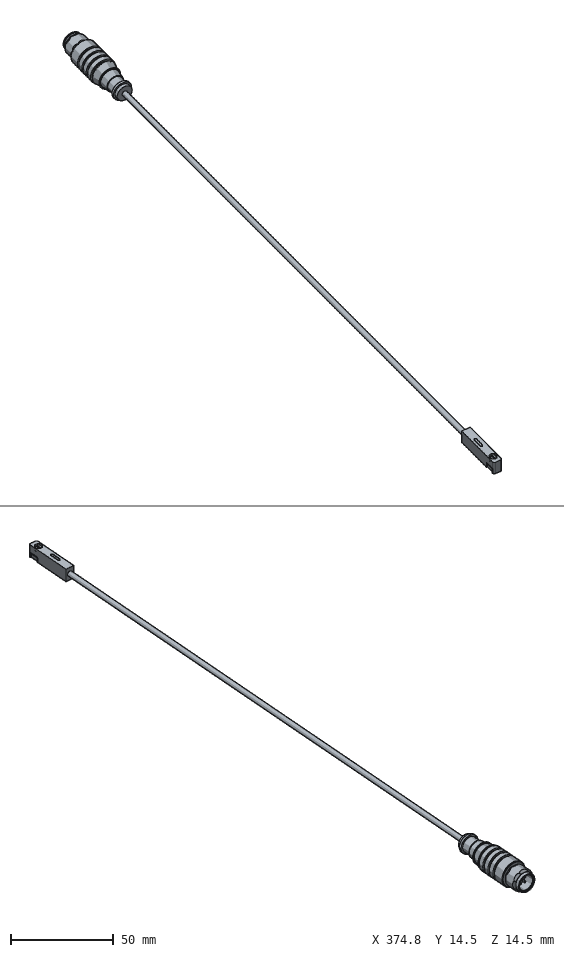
import cadquery as cq
import math

TOTAL_LENGTH = 374.75
PLUG_LENGTH = 46.5
CABLE_DIAMETER = 3.0
CABLE_EMBEDMENT = 1.0

NOSE_DIAMETER = 10.3
NOSE_LENGTH = 2.0
NUT_DIAMETER = 12.2
NUT_END = 9.7
NUT_BEVEL_COUNT = 8
NUT_BEVEL_LENGTH = 1.5
NUT_BEVEL_DEPTH = 0.9

SOCKET_DIAMETER = 8.3
SOCKET_MOUTH_DIAMETER = 9.4
SOCKET_MOUTH_DEPTH = 0.5
SOCKET_DEPTH = 6.0
PIN_DIAMETER = 1.0
PIN_CIRCLE_DIAMETER = 4.0
BOSS_DIAMETER = 6.0
BOSS_LENGTH = 1.0
PIN_SETBACK = 3.0
PIN_COUNT = 4

GRIP_DIAMETER = 14.5
COLLAR_CHAMFER = 0.4
GROOVE_COUNT = 4
GROOVE_START = 15.8
GROOVE_PITCH = 3.85
GROOVE_WIDTH = 1.2
GROOVE_FLOOR_DIAMETER = 12.6
GRIP_END = GROOVE_START + (GROOVE_COUNT - 1) * GROOVE_PITCH + GROOVE_WIDTH
TAPER_START_DIAMETER = 14.0
TAPER_END_DIAMETER = 11.0

FLANGE_START = 33.2
FLANGE_WIDTH = 0.4
FLANGE_DIAMETER = 12.4
SHOULDER_END = 38.1
SHOULDER_START_DIAMETER = 11.0
SHOULDER_END_DIAMETER = 9.8
TAIL_DIAMETER = 8.8
TAIL_RING_START = 43.3
TAIL_RING_WIDTH = 1.3
TAIL_RING_DIAMETER = 10.7

SENSOR_LENGTH = 28.2
SENSOR_WIDTH = 5.0
SENSOR_HEIGHT = 7.4
SENSOR_TIP_RADIUS = 1.0
WINDOW_CENTER = 11.4
WINDOW_LENGTH = 6.6
WINDOW_WIDTH = 1.3
WINDOW_OFFSET = -0.3
WINDOW_DEPTH = 0.3

SCREW_FROM_TIP = 4.3
SCREW_HOLE_DIAMETER = 4.0
SCREW_HOLE_DEPTH = 2.0
SCREW_DIAMETER = 3.0
SCREW_RECESS = 0.5
SCREW_SLOT_WIDTH = 0.6
SCREW_SLOT_DEPTH = 0.8

RECESS_FROM_TIP = 1.3
RECESS_LENGTH = 5.0
RECESS_HEIGHT = 3.1
RECESS_SLOPE_HEIGHT = 1.1
RECESS_DEPTH = 0.5

SENSOR_START = TOTAL_LENGTH - SENSOR_LENGTH


def cylinder_x(start, length, diameter, y=0.0, z=0.0):
    """Cylinder along +X."""
    return cq.Workplane("YZ", origin=(start, y, z)).circle(diameter / 2).extrude(length)


def cone_x(start, length, start_diameter, end_diameter):
    """Truncated cone on the X axis."""
    return (
        cq.Workplane("XY")
        .moveTo(start, 0)
        .lineTo(start, start_diameter / 2)
        .lineTo(start + length, end_diameter / 2)
        .lineTo(start + length, 0)
        .close()
        .revolve(360, (0, 0, 0), (1, 0, 0))
    )


def make_nut():
    """Round coupling nut with a ring of flat bevels at each end."""
    nut = cylinder_x(NOSE_LENGTH, NUT_END - NOSE_LENGTH, NUT_DIAMETER)
    radius = NUT_DIAMETER / 2
    for end, direction in ((NOSE_LENGTH, 1), (NUT_END, -1)):
        bevel = (
            cq.Workplane("XZ")
            .moveTo(end, radius - NUT_BEVEL_DEPTH)
            .lineTo(end + direction * NUT_BEVEL_LENGTH, radius)
            .lineTo(end, radius)
            .close()
            .extrude(radius, both=True)
        )
        for index in range(NUT_BEVEL_COUNT):
            angle = index * 360 / NUT_BEVEL_COUNT
            nut = nut.cut(bevel.rotate((0, 0, 0), (1, 0, 0), angle))
    return nut


def make_groove(start):
    """Ring groove cutter around the grip."""
    groove = cylinder_x(start, GROOVE_WIDTH, GRIP_DIAMETER)
    return groove.cut(cylinder_x(start, GROOVE_WIDTH, GROOVE_FLOOR_DIAMETER))


def make_grip():
    grip = cylinder_x(NUT_END, GRIP_END - NUT_END, GRIP_DIAMETER).faces("<X").chamfer(COLLAR_CHAMFER)
    for index in range(GROOVE_COUNT):
        grip = grip.cut(make_groove(GROOVE_START + index * GROOVE_PITCH))
    taper = cone_x(GRIP_END, FLANGE_START - GRIP_END, TAPER_START_DIAMETER, TAPER_END_DIAMETER)
    return grip.union(taper)


def make_strain_relief():
    shoulder_start = FLANGE_START + FLANGE_WIDTH
    flange = cylinder_x(FLANGE_START, FLANGE_WIDTH, FLANGE_DIAMETER)
    shoulder = cone_x(
        shoulder_start, SHOULDER_END - shoulder_start, SHOULDER_START_DIAMETER, SHOULDER_END_DIAMETER
    )
    tail = cylinder_x(SHOULDER_END, PLUG_LENGTH - SHOULDER_END, TAIL_DIAMETER)
    ring = cylinder_x(TAIL_RING_START, TAIL_RING_WIDTH, TAIL_RING_DIAMETER)
    return flange.union(shoulder).union(tail).union(ring)


def make_plug():
    plug = cylinder_x(0, NOSE_LENGTH, NOSE_DIAMETER).union(make_nut())
    plug = plug.union(make_grip()).union(make_strain_relief())
    plug = plug.cut(cylinder_x(0, SOCKET_DEPTH, SOCKET_DIAMETER))
    plug = plug.cut(cylinder_x(0, SOCKET_MOUTH_DEPTH, SOCKET_MOUTH_DIAMETER))
    plug = plug.union(cylinder_x(SOCKET_DEPTH - BOSS_LENGTH, BOSS_LENGTH, BOSS_DIAMETER))
    for index in range(PIN_COUNT):
        angle = math.radians((index + 0.5) * 360 / PIN_COUNT)
        y = PIN_CIRCLE_DIAMETER / 2 * math.cos(angle)
        z = PIN_CIRCLE_DIAMETER / 2 * math.sin(angle)
        plug = plug.union(cylinder_x(PIN_SETBACK, SOCKET_DEPTH - PIN_SETBACK, PIN_DIAMETER, y, z))
    return plug


def make_cable():
    start = PLUG_LENGTH - CABLE_EMBEDMENT
    end = SENSOR_START + CABLE_EMBEDMENT
    return cylinder_x(start, end - start, CABLE_DIAMETER)


def add_clamping_screw(body):
    """Recessed slotted screw, opening on the top face near the tip."""
    x = TOTAL_LENGTH - SCREW_FROM_TIP
    top = SENSOR_HEIGHT / 2
    screw_top = top - SCREW_RECESS
    hole_bottom = top - SCREW_HOLE_DEPTH
    floor = cq.Workplane("XY", origin=(x, 0, hole_bottom))
    hole = floor.circle(SCREW_HOLE_DIAMETER / 2).extrude(SCREW_HOLE_DEPTH)
    screw = floor.circle(SCREW_DIAMETER / 2).extrude(screw_top - hole_bottom)
    slot = cq.Workplane("XY", origin=(x, 0, screw_top - SCREW_SLOT_DEPTH)).box(
        SCREW_DIAMETER, SCREW_SLOT_WIDTH, SCREW_SLOT_DEPTH, centered=(True, True, False)
    )
    return body.cut(hole).union(screw.cut(slot))


def cut_side_recesses(body):
    outer = SENSOR_WIDTH / 2
    inner = outer - RECESS_DEPTH
    bottom = -SENSOR_HEIGHT / 2
    top = bottom + RECESS_HEIGHT
    recess = (
        cq.Workplane("YZ", origin=(TOTAL_LENGTH - RECESS_FROM_TIP - RECESS_LENGTH, 0, 0))
        .moveTo(outer, bottom)
        .lineTo(outer, top)
        .lineTo(inner, top - RECESS_SLOPE_HEIGHT)
        .lineTo(inner, bottom)
        .close()
        .extrude(RECESS_LENGTH)
    )
    return body.cut(recess).cut(recess.mirror("XZ"))


def make_sensor():
    body = (
        cq.Workplane("XY", origin=(SENSOR_START, 0, 0))
        .box(SENSOR_LENGTH, SENSOR_WIDTH, SENSOR_HEIGHT, centered=(False, True, True))
        .edges("|Z and >X")
        .fillet(SENSOR_TIP_RADIUS)
    )
    window_floor = SENSOR_HEIGHT / 2 - WINDOW_DEPTH
    window = (
        cq.Workplane("XY", origin=(SENSOR_START + WINDOW_CENTER, WINDOW_OFFSET, window_floor))
        .slot2D(WINDOW_LENGTH, WINDOW_WIDTH)
        .extrude(WINDOW_DEPTH)
    )
    return cut_side_recesses(add_clamping_screw(body.cut(window)))


result = make_plug().union(make_cable()).union(make_sensor())